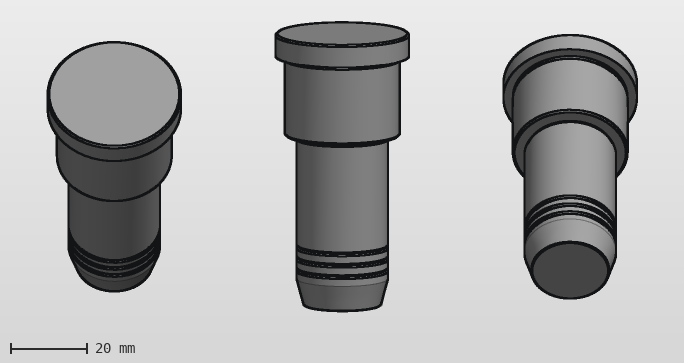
import cadquery as cq
import math

total_length = 72.0
flange_radius = 17.5
flange_thickness = 6.0
body_radius = 15.05
body_end_depth = 27.0
shaft_radius = 12.0
edge_chamfer = 0.5
tip_chamfer = 0.2
groove_depth = 0.5
groove_width = 2 * groove_depth
ring_groove_count = 3
first_ring_depth = 56.0
ring_pitch = 3.0
taper_length = 7.0
taper_angle = 15.0

flange_bottom = total_length - flange_thickness
body_bottom = total_length - body_end_depth
first_ring_top = total_length - first_ring_depth
tip_radius = shaft_radius - taper_length * math.tan(math.radians(taper_angle))


def cylinder(radius, bottom, top):
    return cq.Workplane("XY").workplane(offset=bottom).circle(radius).extrude(top - bottom)


def v_groove(radius, top):
    """Ring cutter for a V groove in a cylinder, starting at level top and going down."""
    return (
        cq.Workplane("XZ")
        .moveTo(radius, top)
        .lineTo(radius - groove_depth, top - groove_width / 2)
        .lineTo(radius, top - groove_width)
        .close()
        .revolve(360, (0, 0, 0), (0, 1, 0))
    )


flange = cylinder(flange_radius, flange_bottom, total_length).faces(">Z").chamfer(edge_chamfer)
body = cylinder(body_radius, body_bottom, flange_bottom).faces("<Z").chamfer(edge_chamfer)

shaft = cylinder(shaft_radius, taper_length, body_bottom)
taper = (
    cq.Workplane("XY")
    .circle(tip_radius)
    .workplane(offset=taper_length)
    .circle(shaft_radius)
    .loft()
    .faces("<Z")
    .chamfer(tip_chamfer)
)

result = flange.union(body).union(shaft).union(taper)

result = result.cut(v_groove(body_radius, flange_bottom))
neck_bottom = body_bottom - groove_width
neck_relief = cylinder(shaft_radius, neck_bottom, body_bottom).cut(
    cylinder(shaft_radius - groove_depth, neck_bottom, body_bottom)
)
result = result.cut(neck_relief)

for ring in range(ring_groove_count):
    result = result.cut(v_groove(shaft_radius, first_ring_top - ring * ring_pitch))